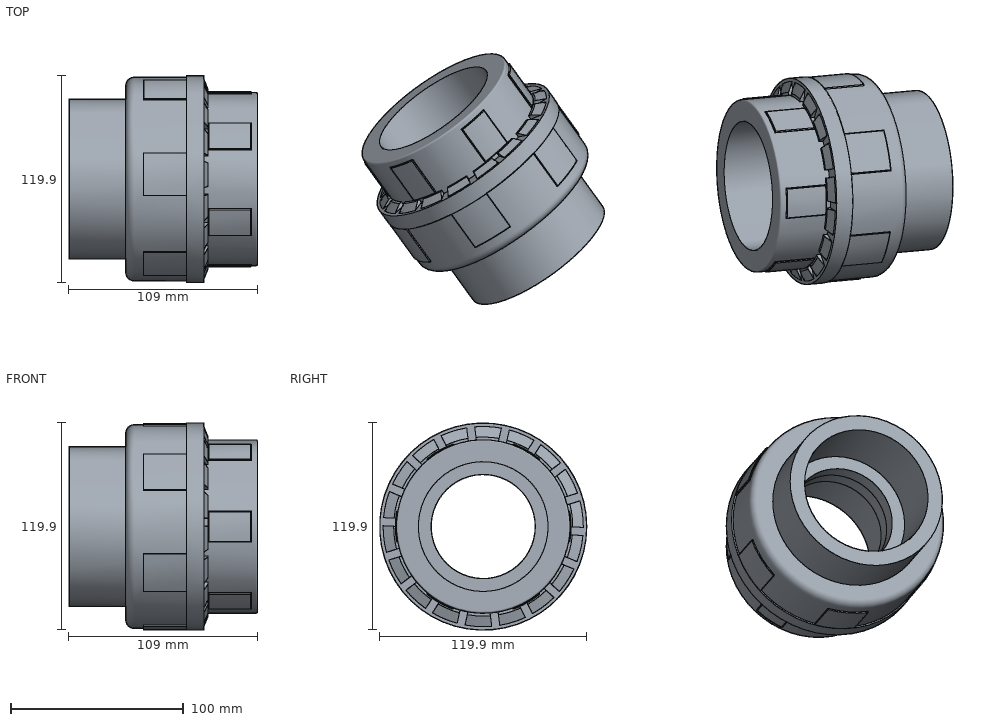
import cadquery as cq


total_length = 109.0
socket_diameter = 75.0
socket_depth = 44.0
bore_diameter = 60.0
joint_x = total_length / 2

plain_diameter = 92.5

padded_diameter = 100.3
padded_end_rounding = 1.0

nut_start_x = 32.7
nut_diameter = 118.0
nut_rounding = 5.0
nut_turn = 2.8
collar_diameter = 119.9
collar_start_x = 67.8
collar_end_x = 77.9
cone_end_x = 80.4
cone_start_diameter = 115.8
cone_end_diameter = 103.6
slot_count = 18
slot_width = 4.7

pad_count = 6
pad_foot_depth = 2.4

nut_pad_start_x = 42.9
nut_pad_end_x = (collar_start_x + collar_end_x) / 2
nut_pad_width = 24.5
nut_pad_diameter = 119.5
nut_pad_first_angle = 30 - nut_turn
beveled_nut_pad = 3

connector_pad_start_x = cone_end_x
connector_pad_end_x = 105.4
connector_pad_width = 18.0
connector_pad_diameter = 101.8
connector_pad_first_angle = 0

pad_bevel = 0.5


def cylinder(diameter, start_x, end_x):
    """Solid cylinder about the X axis."""
    return cq.Workplane("YZ", origin=(start_x, 0, 0)).circle(diameter / 2).extrude(end_x - start_x)


def radial_bar(start_x, end_x, width, inner_radius, outer_radius):
    """Box that reaches out from the X axis toward -Y."""
    bar = cq.Workplane("XY").box(
        end_x - start_x, outer_radius - inner_radius, width, centered=(False, False, True)
    )
    return bar.translate((start_x, -outer_radius, 0))


def turned(body, angle):
    """Copy of a body turned about the X axis."""
    return body.rotate((0, 0, 0), (1, 0, 0), angle)


def make_pad(body_diameter, pad_diameter, start_x, end_x, width, bevel):
    """Pad on the -Y side with a cylindrical top, its top edges beveled if a bevel is given."""
    bar = radial_bar(start_x, end_x, width, body_diameter / 2 - pad_foot_depth, pad_diameter / 2)
    pad = bar.intersect(cylinder(pad_diameter, start_x, end_x))
    if bevel > 0:
        pad = pad.faces("<Y").chamfer(bevel)
    return pad


def make_plain_connector():
    tube = cylinder(plain_diameter, 0, joint_x)
    socket = cylinder(socket_diameter, 0, socket_depth)
    bore = cylinder(bore_diameter, 0, joint_x)
    return tube.cut(socket).cut(bore)


def make_padded_connector():
    tube = cylinder(padded_diameter, joint_x, total_length).faces(">X").edges().fillet(padded_end_rounding)
    pad = make_pad(
        padded_diameter, connector_pad_diameter,
        connector_pad_start_x, connector_pad_end_x, connector_pad_width, pad_bevel,
    )
    for index in range(pad_count):
        tube = tube.union(turned(pad, connector_pad_first_angle + index * 360 / pad_count))
    socket = cylinder(socket_diameter, total_length - socket_depth, total_length)
    bore = cylinder(bore_diameter, joint_x, total_length)
    return tube.cut(socket).cut(bore)


def make_slotted_cone():
    cone = (
        cq.Workplane("YZ", origin=(collar_end_x, 0, 0))
        .circle(cone_start_diameter / 2)
        .workplane(offset=cone_end_x - collar_end_x)
        .circle(cone_end_diameter / 2)
        .loft()
    )
    slot = radial_bar(collar_end_x, cone_end_x, slot_width, 0, cone_start_diameter / 2)
    for index in range(slot_count):
        cone = cone.cut(turned(slot, index * 360 / slot_count - nut_turn))
    return cone


def make_nut():
    nut = cylinder(nut_diameter, nut_start_x, collar_end_x).faces("<X").edges().fillet(nut_rounding)
    for index in range(pad_count):
        bevel = pad_bevel if index == beveled_nut_pad else 0
        pad = make_pad(
            nut_diameter, nut_pad_diameter, nut_pad_start_x, nut_pad_end_x, nut_pad_width, bevel
        )
        nut = nut.union(turned(pad, nut_pad_first_angle + index * 360 / pad_count))
    nut = nut.union(cylinder(collar_diameter, collar_start_x, collar_end_x))
    nut = nut.union(make_slotted_cone())
    plain_seat = cylinder(plain_diameter, nut_start_x, joint_x)
    padded_seat = cylinder(padded_diameter, joint_x, cone_end_x)
    return nut.cut(plain_seat).cut(padded_seat)


plain_connector = make_plain_connector()
padded_connector = make_padded_connector()
ring_nut = make_nut()

bodies = [plain_connector, padded_connector, ring_nut]
result = cq.Compound.makeCompound([body.solids().val() for body in bodies])